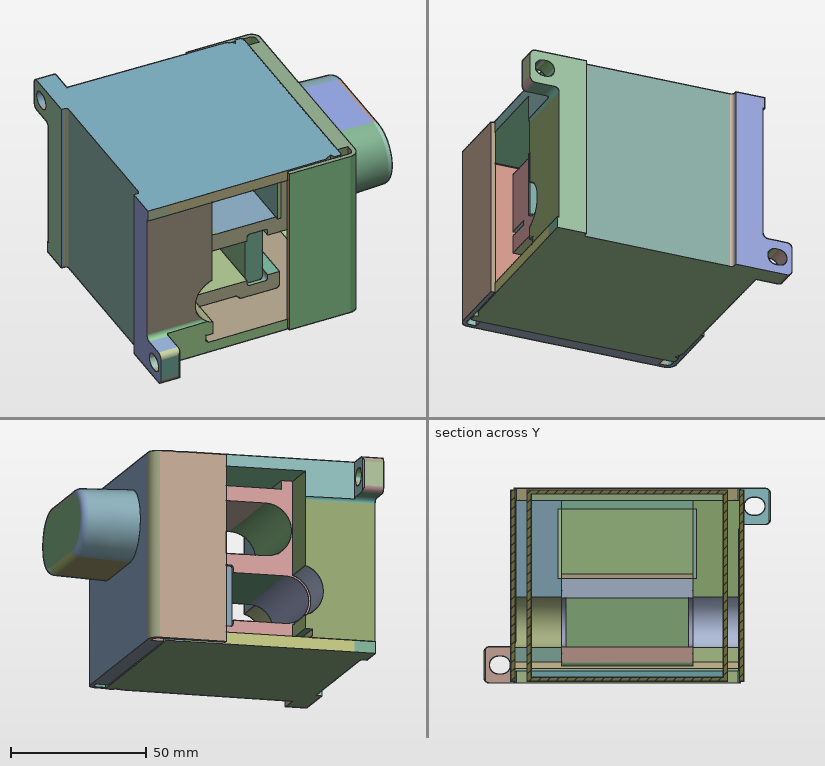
import cadquery as cq

total_length = 108.6
body_height = 72.0
half_height = body_height / 2

base_half_width = 41.9
end_half_width = 41.4
body_length = 80.1
end_chamfer = 0.5
snap_groove_front = 73.5
snap_groove_root = 76.3
snap_groove_back = 77.0
snap_groove_depth = 1.6

foot_reach = 53.0
foot_thickness = 8.0
foot_height = 13.5
foot_corner_radius = 2.2
foot_edge_chamfer = 0.7
hole_length = 7.7
hole_height = 6.5
hole_x = 47.0
hole_z = 29.3

channel_half_width = 30.2
channel_depth = 2.4
channel_fillet = 1.2

side_recess_half_width = 41.3
side_recess_fillet = 2.0
rail_inner_z = 31.5
side_opening_start = 26.8

block_half_width = 24.2
block_top_z = 28.2
block_bottom_z = -29.8
block_step_z = -28.1
block_step_start = 45.2
block_step_end = 46.8
upper_gap_start = 31.2
lower_gap_start = 24.0
lower_gap_chamfer = 1.0

rib_half_width = 25.6
rib_end = 63.0

upper_window_bottom = 2.6
upper_window_top = 22.6
upper_window_start = 27.3
upper_window_end = 61.5
lower_window_bottom = -22.6
lower_window_top = -4.6
lower_window_start = 20.6
lower_arm_end = 63.0
lower_arm_radius = 1.6
window_relief = 0.8
slit_start = 70.5
slit_height = 1.7

bar_half_width = 22.6
bar_start = 49.6
bar_end = 56.7
notch_end = 58.1
bar_bottom_z = -25.0
bar_top_z = -1.7
bar_corner_radius = 1.1

lid_half_height = 35.4
lid_wall = 1.7
lid_half_width = end_half_width + lid_wall
lid_top = 86.5
lid_arm_end = 57.7
lid_outer_radius = 3.6
lid_inner_radius = lid_outer_radius - lid_wall
collar_half_width = 37.0
collar_wall = 1.6

knob_straight = 30.0
knob_radius = 13.6
knob_z = 12.6
knob_taper = 2.2
knob_edge_radius = 2.4


def box(x_range, y_range, z_range):
    """Box given by its lower and upper limits along each axis."""
    limits = (x_range, y_range, z_range)
    sizes = [high - low for low, high in limits]
    corner = tuple(low for low, high in limits)
    return cq.Workplane("XY").box(*sizes, centered=False).translate(corner)


def across(profile, half_width):
    """Extrude a Y-Z profile symmetrically along X."""
    return profile.extrude(half_width, both=True)


def round_ended_window(start, end, bottom, top, half_width):
    """Window along Y with a full round at its start and a square end."""
    radius = (top - bottom) / 2
    profile = (
        cq.Workplane("YZ")
        .moveTo(end, bottom)
        .lineTo(start + radius, bottom)
        .threePointArc((start, bottom + radius), (start + radius, top))
        .lineTo(end, top)
        .close()
    )
    return across(profile, half_width)


def make_body_blank():
    """Drafted prism with end chamfers and a snap groove on each side."""
    right_side = [
        (base_half_width, 0),
        (base_half_width, foot_thickness),
        (end_half_width, snap_groove_front),
        (end_half_width - snap_groove_depth, snap_groove_root),
        (end_half_width, snap_groove_back),
        (end_half_width, body_length - end_chamfer),
        (end_half_width - end_chamfer, body_length),
    ]
    left_side = [(-x, y) for x, y in reversed(right_side)]
    return (
        cq.Workplane("XY")
        .polyline(right_side + left_side)
        .close()
        .extrude(half_height, both=True)
    )


def make_foot():
    """Foot at the upper -X corner, with its screw hole and a web for the fillet below it."""
    foot = box(
        (-foot_reach, -end_half_width + 2 * foot_corner_radius),
        (0, foot_thickness),
        (half_height - foot_height, half_height),
    )
    foot = foot.faces(">Y").edges("<X").chamfer(foot_edge_chamfer)
    foot = foot.faces("<X").edges("|Y").fillet(foot_corner_radius)
    hole = (
        cq.Workplane("XZ")
        .center(-hole_x, hole_z)
        .slot2D(hole_length, hole_height)
        .extrude(-foot_thickness)
    )
    web = box(
        (-side_recess_half_width - side_recess_fillet, -side_recess_half_width),
        (0, foot_thickness),
        (half_height - foot_height - side_recess_fillet, half_height),
    )
    return foot.cut(hole).union(web)


def make_side_recess():
    """Shallow recess of the -X side, below the foot and above the lower rail."""
    recess = box(
        (-foot_reach, -side_recess_half_width),
        (0, side_opening_start),
        (-rail_inner_z, half_height - foot_height),
    )
    return recess.edges("|Y and >X and >Z").fillet(side_recess_fillet)


def make_mounting_channel():
    channel = box(
        (-channel_half_width, channel_half_width),
        (0, channel_depth),
        (-half_height, half_height),
    )
    return channel.edges("|Z and >Y").fillet(channel_fillet)


def make_interior():
    """Everything removed between the rails, leaving the central block."""
    cavity = box(
        (-foot_reach, foot_reach),
        (side_opening_start, body_length),
        (-rail_inner_z, rail_inner_z),
    )
    relief = round_ended_window(
        lower_window_start - window_relief,
        body_length,
        lower_window_bottom - window_relief,
        lower_window_top + window_relief,
        foot_reach,
    )
    lower_gap = box(
        (-foot_reach, foot_reach),
        (lower_gap_start, body_length),
        (-rail_inner_z, block_step_z),
    )
    lower_gap = lower_gap.edges("|X and <Y and <Z").chamfer(lower_gap_chamfer)
    return cavity.union(relief).union(lower_gap).cut(make_block())


def make_block():
    """Central block with its side ribs, windows and the notch for the crossbar."""
    outline = (
        cq.Workplane("YZ")
        .moveTo(0, rail_inner_z)
        .lineTo(upper_gap_start, rail_inner_z)
        .lineTo(upper_gap_start, block_top_z)
        .lineTo(body_length, block_top_z)
        .lineTo(body_length, lower_window_top)
        .lineTo(lower_arm_end, lower_window_top)
        .lineTo(lower_arm_end, block_bottom_z + lower_arm_radius)
        .radiusArc((lower_arm_end - lower_arm_radius, block_bottom_z), lower_arm_radius)
        .lineTo(block_step_end, block_bottom_z)
        .lineTo(block_step_start, block_step_z)
        .lineTo(lower_gap_start, block_step_z)
        .lineTo(0, block_step_z)
        .close()
    )
    block = across(outline, block_half_width)
    upper_window = round_ended_window(
        upper_window_start, upper_window_end, upper_window_bottom, upper_window_top, block_half_width
    )
    lower_window = round_ended_window(
        lower_window_start, body_length, lower_window_bottom, lower_window_top, block_half_width
    )
    slit = box(
        (-block_half_width, block_half_width),
        (slit_start, body_length),
        (upper_window_bottom, upper_window_bottom + slit_height),
    )
    ribs = box(
        (-rib_half_width, rib_half_width),
        (upper_window_end, rib_end),
        (upper_window_bottom, block_top_z),
    )
    bar_notch = make_crossbar(block_half_width, notch_end)
    block = block.union(ribs)
    return block.cut(upper_window).cut(lower_window).cut(slit).cut(bar_notch)


def make_crossbar(half_width, end):
    """Rounded bar along X, also used to cut its notch."""
    bar = box((-half_width, half_width), (bar_start, end), (bar_bottom_z, bar_top_z))
    return bar.edges("|X").fillet(bar_corner_radius)


def make_lid():
    """Plate with a clip arm along each side and a hollow collar underneath."""
    plate_bottom = lid_top - lid_wall
    lid = box(
        (-lid_half_width, lid_half_width),
        (lid_arm_end, lid_top),
        (-lid_half_height, lid_half_height),
    )
    lid = lid.edges("|Z and >Y").fillet(lid_outer_radius)
    inside = box(
        (-end_half_width, end_half_width),
        (lid_arm_end, plate_bottom),
        (-lid_half_height, lid_half_height),
    )
    inside = inside.edges("|Z and >Y").fillet(lid_inner_radius)
    collar = box(
        (-collar_half_width, collar_half_width),
        (body_length, plate_bottom),
        (-lid_half_height, lid_half_height),
    )
    collar = collar.faces("<Y or >Y").shell(-collar_wall)
    return lid.cut(inside).union(collar)


def make_knob():
    """Tapered oblong knob with a rounded top edge."""
    knob = (
        cq.Workplane("XZ", origin=(0, lid_top, knob_z))
        .slot2D(knob_straight + 2 * knob_radius, 2 * knob_radius)
        .extrude(-(total_length - lid_top), taper=knob_taper)
    )
    return knob.faces(">Y").edges().fillet(knob_edge_radius)


body = make_body_blank()
for foot_turn in (0, 180):
    body = body.union(make_foot().rotate((0, 0, 0), (0, 1, 0), foot_turn))
    body = body.cut(make_side_recess().rotate((0, 0, 0), (0, 1, 0), foot_turn))
body = body.cut(make_mounting_channel()).cut(make_interior())
body = body.union(make_crossbar(bar_half_width, bar_end))
result = body.union(make_lid()).union(make_knob())